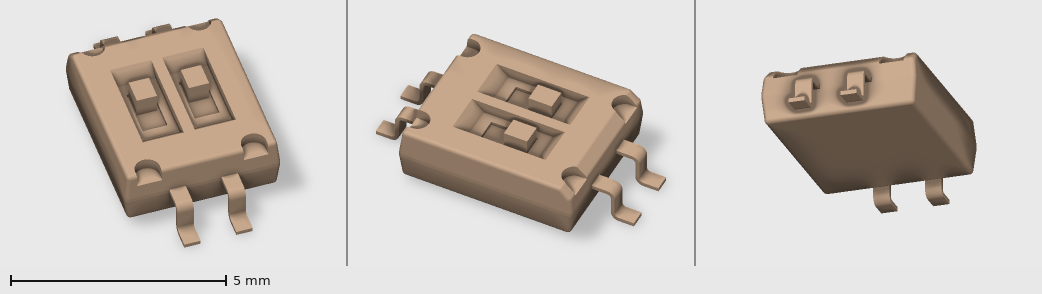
import cadquery as cq

OVERALL_LENGTH = 6.7
END_SIDES = (-1, 1)
SWITCH_PITCH = 1.27
SWITCH_POSITIONS = [SWITCH_PITCH / 2, -SWITCH_PITCH / 2]

HOUSING_LENGTH = 4.5
HOUSING_WIDTH = 3.8
HOUSING_BOTTOM = 0.1
HOUSING_TOP = 1.5
DRAFT_ANGLE = 6.0
EDGE_RADIUS = 0.1

LEAD_THICKNESS = 0.1
LEAD_WIDTH = 0.4
LEAD_INNER_RADIUS = 0.1
LEAD_OUTER_RADIUS = LEAD_INNER_RADIUS + LEAD_THICKNESS
LEAD_DROP_X = 2.855

PARTING_Z = 0.85
BAND_BOTTOM = PARTING_Z - LEAD_THICKNESS
COVER_HEIGHT = HOUSING_TOP - PARTING_Z

CHAMFER_SIZE = 0.25

RECESS_RADIUS = 0.3
RECESS_DEPTH = 0.3
RECESS_CENTER_X = 2.04
RECESS_CENTER_Y = 1.3

POCKET_LENGTH = 2.41
POCKET_FLOOR_LENGTH = 1.795
POCKET_WIDTH = 1.005
POCKET_DEPTH = 0.3
POCKET_FLOOR_Z = HOUSING_TOP - POCKET_DEPTH

SLOT_LENGTH = 1.205
SLOT_WIDTH = 0.61
SLOT_DEPTH = 0.1
SLOT_FLOOR_Z = POCKET_FLOOR_Z - SLOT_DEPTH
KNOB_LENGTH = SLOT_LENGTH / 2
KNOB_WIDTH = 0.495
KNOB_TOP = 1.6


def box_between(length, width, bottom, top, x=0.0, y=0.0):
    """Box centred on (x, y) that spans the given heights."""
    return (
        cq.Workplane("XY", origin=(x, y, bottom))
        .rect(length, width)
        .extrude(top - bottom)
    )


def drafted_block(height):
    """Housing-sized block on the XY plane that narrows upwards."""
    return (
        cq.Workplane("XY")
        .rect(HOUSING_LENGTH, HOUSING_WIDTH)
        .extrude(height, taper=DRAFT_ANGLE)
    )


def round_edges(block):
    """Fillet every edge of a block but the outline of its lowest face."""
    lowest_face_edges = cq.selectors.StringSyntaxSelector("<Z")
    return block.edges(cq.selectors.InverseSelector(lowest_face_edges)).fillet(EDGE_RADIUS)


def make_base():
    """Lower housing half, with a raised block and a knob below each slot of the cover."""
    band = box_between(HOUSING_LENGTH, HOUSING_WIDTH, BAND_BOTTOM, PARTING_Z)
    band = band.edges("|Z").fillet(EDGE_RADIUS)
    underside = round_edges(drafted_block(BAND_BOTTOM - HOUSING_BOTTOM))
    base = band.union(underside.mirror("XY").translate((0, 0, BAND_BOTTOM)))
    knob_x = (KNOB_LENGTH - SLOT_LENGTH) / 2
    for y in SWITCH_POSITIONS:
        base = base.union(box_between(SLOT_LENGTH, SLOT_WIDTH, PARTING_Z, SLOT_FLOOR_Z, y=y))
        base = base.union(box_between(KNOB_LENGTH, KNOB_WIDTH, SLOT_FLOOR_Z, KNOB_TOP, knob_x, y))
    return base


def recess_cutter(side, y):
    """Slot with a half-round inner end, open through the end wall on the given side."""
    floor_z = HOUSING_TOP - RECESS_DEPTH
    x = side * RECESS_CENTER_X
    round_end = (
        cq.Workplane("XY", origin=(x, y, floor_z))
        .circle(RECESS_RADIUS)
        .extrude(RECESS_DEPTH)
    )
    open_x = x + side * RECESS_RADIUS
    return round_end.union(
        box_between(2 * RECESS_RADIUS, 2 * RECESS_RADIUS, floor_z, HOUSING_TOP, open_x, y)
    )


def pocket_cutter(y):
    """Switch pocket with sloping ends and straight sides."""
    return (
        cq.Workplane("XZ", origin=(0, y, 0))
        .polyline([
            (-POCKET_LENGTH / 2, HOUSING_TOP),
            (POCKET_LENGTH / 2, HOUSING_TOP),
            (POCKET_FLOOR_LENGTH / 2, POCKET_FLOOR_Z),
            (-POCKET_FLOOR_LENGTH / 2, POCKET_FLOOR_Z),
        ])
        .close()
        .extrude(POCKET_WIDTH / 2, both=True)
    )


def make_cover():
    """Upper housing half with its chamfer, end recesses, pockets and slots."""
    block = drafted_block(COVER_HEIGHT).translate((0, 0, PARTING_Z))
    cover = round_edges(block.faces(">Z").edges("<X").chamfer(CHAMFER_SIZE))
    for side in END_SIDES:
        for y in (-RECESS_CENTER_Y, RECESS_CENTER_Y):
            cover = cover.cut(recess_cutter(side, y))
    for y in SWITCH_POSITIONS:
        cover = cover.cut(pocket_cutter(y))
        cover = cover.cut(box_between(SLOT_LENGTH, SLOT_WIDTH, PARTING_Z, HOUSING_TOP, y=y))
    return cover


def make_lead(side, y):
    """S-bent lead from the end wall of the base down to its foot."""
    wall_x = HOUSING_LENGTH / 2
    foot_x = OVERALL_LENGTH / 2
    drop_inner_x = LEAD_DROP_X - LEAD_THICKNESS
    lead = (
        cq.Workplane("XZ", origin=(0, y, 0))
        .moveTo(wall_x, PARTING_Z)
        .lineTo(LEAD_DROP_X - LEAD_OUTER_RADIUS, PARTING_Z)
        .tangentArcPoint((LEAD_DROP_X, PARTING_Z - LEAD_OUTER_RADIUS), relative=False)
        .lineTo(LEAD_DROP_X, LEAD_OUTER_RADIUS)
        .tangentArcPoint((LEAD_DROP_X + LEAD_INNER_RADIUS, LEAD_THICKNESS), relative=False)
        .lineTo(foot_x, LEAD_THICKNESS)
        .lineTo(foot_x, 0)
        .lineTo(drop_inner_x + LEAD_OUTER_RADIUS, 0)
        .tangentArcPoint((drop_inner_x, LEAD_OUTER_RADIUS), relative=False)
        .lineTo(drop_inner_x, BAND_BOTTOM - LEAD_INNER_RADIUS)
        .tangentArcPoint((drop_inner_x - LEAD_INNER_RADIUS, BAND_BOTTOM), relative=False)
        .lineTo(wall_x, BAND_BOTTOM)
        .close()
        .extrude(LEAD_WIDTH / 2, both=True)
    )
    if side < 0:
        lead = lead.mirror("YZ")
    return lead


base = make_base()
cover = make_cover()
leads = [make_lead(side, y) for side in END_SIDES for y in SWITCH_POSITIONS]

result = cq.Compound.makeCompound([base.val(), cover.val(), *[lead.val() for lead in leads]])